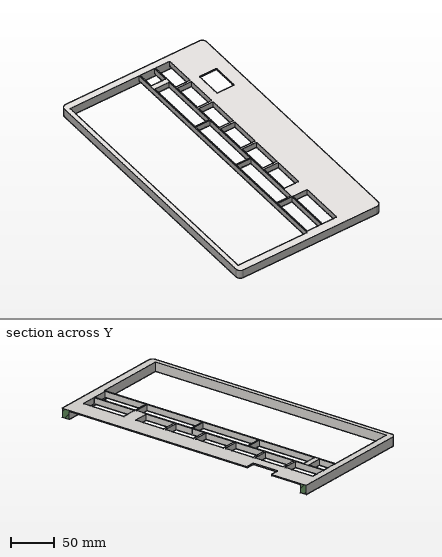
import cadquery as cq

LENGTH = 350.0
DEPTH = 200.0
THICKNESS = 12.0
CORNER_RADIUS = 6.0

LEFT_MARGIN = 9.0
RIGHT_MARGIN = 10.0
FRONT_MARGIN = 6.0
FRONT_OPENING_DEPTH = 97.0

BAR = 1.5
KEY_DEPTH = 20.0
END_KEY_WIDTH = 58.0
END_KEY_X = 280.0

REAR_KEY_COUNT = 6
REAR_KEY_WIDTH = 40.0
REAR_KEY_PITCH = 42.8

SMALL_KEY_WIDTH = 22.0
WIDE_KEY_COUNT = 3
WIDE_KEY_WIDTH = 79.0
WIDE_KEY_X = 38.0

WINDOW_X = 50.0
WINDOW_Y = 158.5
WINDOW_WIDTH = 35.0
WINDOW_DEPTH = 24.0

REAR_RIM = FRONT_MARGIN
DECK_THICKNESS = 2.0
GRID_THICKNESS = 8.0

INNER_WIDTH = LENGTH - LEFT_MARGIN - RIGHT_MARGIN
GRID_Y = FRONT_MARGIN + FRONT_OPENING_DEPTH
MIDDLE_ROW_Y = GRID_Y + BAR
REAR_ROW_Y = MIDDLE_ROW_Y + KEY_DEPTH + BAR
GRID_REAR_Y = REAR_ROW_Y + KEY_DEPTH + BAR
WIDE_KEY_PITCH = WIDE_KEY_WIDTH + BAR


def block(x, y, width, depth, height=THICKNESS):
    """Box standing on the underside, placed by its lower-left corner."""
    return cq.Workplane("XY").box(width, depth, height, centered=False).translate((x, y, 0))


def plate():
    return block(0, 0, LENGTH, DEPTH).edges("|Z").fillet(CORNER_RADIUS)


def front_opening():
    return block(LEFT_MARGIN, FRONT_MARGIN, INNER_WIDTH, FRONT_OPENING_DEPTH)


def grid_recess():
    """Shallow recess that lifts the key grid off the underside."""
    return block(LEFT_MARGIN, GRID_Y, INNER_WIDTH, GRID_REAR_Y - GRID_Y, THICKNESS - GRID_THICKNESS)


def deck_cavity():
    """Deep cavity behind the key grid that leaves only the thin deck."""
    depth = DEPTH - REAR_RIM - GRID_REAR_Y
    return block(LEFT_MARGIN, GRID_REAR_Y, INNER_WIDTH, depth, THICKNESS - DECK_THICKNESS)


def window():
    return block(WINDOW_X, WINDOW_Y, WINDOW_WIDTH, WINDOW_DEPTH)


def key_row(first_x, y, width, pitch, count):
    """List of equal key openings side by side."""
    return [block(first_x + index * pitch, y, width, KEY_DEPTH) for index in range(count)]


def key_openings():
    rear_keys = key_row(LEFT_MARGIN, REAR_ROW_Y, REAR_KEY_WIDTH, REAR_KEY_PITCH, REAR_KEY_COUNT)
    small_key = block(LEFT_MARGIN, MIDDLE_ROW_Y, SMALL_KEY_WIDTH, KEY_DEPTH)
    wide_keys = key_row(WIDE_KEY_X, MIDDLE_ROW_Y, WIDE_KEY_WIDTH, WIDE_KEY_PITCH, WIDE_KEY_COUNT)
    end_keys = [block(END_KEY_X, y, END_KEY_WIDTH, KEY_DEPTH) for y in (MIDDLE_ROW_Y, REAR_ROW_Y)]
    return rear_keys + [small_key] + wide_keys + end_keys


part = plate()
for cutter in [front_opening(), grid_recess(), deck_cavity(), window()] + key_openings():
    part = part.cut(cutter)

result = cq.Workplane("XY").newObject([part.solids().val()])